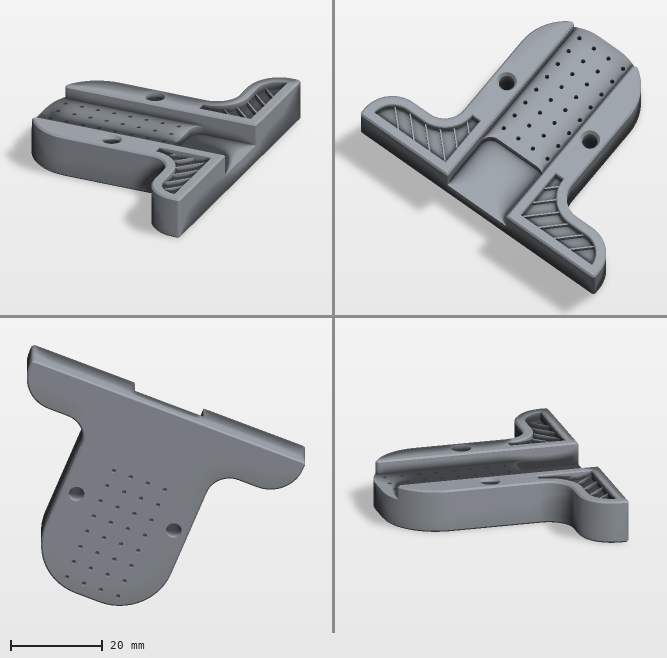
import cadquery as cq
import math

LENGTH = 47.6
HALF_SPAN = 32.25
HEIGHT = 9.55
EDGE_CHAMFER = 0.4

BODY_HALF_WIDTH = 14.85
FRONT_RADIUS = 12.05
WING_DEPTH = 9.5
WING_ROUND = 7.7
WING_FILLET = 5.3
CORNER_RADIUS = 0.8

CHANNEL_HALF_WIDTH = 8.05
CHANNEL_DEPTH = 3.1
BAY_START = 32.9
BAY_DEPTH = 2.0
BAY_CORNER = 2.7

BOLT_DIAMETER = 3.4
BOLT_SINK_WIDTH = 0.5
BOLT_SINK_DEPTH = 0.8
BOLT_X = 21.95

VENT_DIAMETER = 1.0
VENT_COLUMNS = 8
VENT_ROWS = 4
VENT_PITCH_X = 3.9
VENT_PITCH_Y = 4.0
VENT_FIRST_X = 3.0

POCKET_INSET = 2.3
POCKET_CHAMFER = 0.225
POCKET_DEPTH = 2.2
POCKET_START = 32.9
RIB_THICKNESS = 0.3
RIB_HEIGHT = 1.1
RIB_PITCH = 3.05
RIBS_EACH_SIDE = 3

WING_FRONT = LENGTH - WING_DEPTH
FLOOR_Z = HEIGHT - CHANNEL_DEPTH
FILLET_CENTER = (WING_FRONT - WING_FILLET, BODY_HALF_WIDTH + WING_FILLET)
ROUND_CENTER = (WING_FRONT + WING_ROUND, HALF_SPAN - WING_ROUND)


def on_circle(center, radius, degrees):
    angle = math.radians(degrees)
    return (center[0] + radius * math.cos(angle), center[1] + radius * math.sin(angle))


def box(x_range, y_range, z_range):
    size = [high - low for low, high in (x_range, y_range, z_range)]
    return cq.Workplane().box(*size, centered=False).translate((x_range[0], y_range[0], z_range[0]))


def both_sides(shape):
    return shape.union(shape.mirror("XZ"))


def plate():
    """Full-height half outline, mirrored about the X axis."""
    front_center = (FRONT_RADIUS, BODY_HALF_WIDTH - FRONT_RADIUS)
    outline = (
        cq.Workplane()
        .lineTo(0, front_center[1])
        .threePointArc(on_circle(front_center, FRONT_RADIUS, 135), (FRONT_RADIUS, BODY_HALF_WIDTH))
        .lineTo(FILLET_CENTER[0], BODY_HALF_WIDTH)
        .threePointArc(on_circle(FILLET_CENTER, WING_FILLET, -45), (WING_FRONT, FILLET_CENTER[1]))
        .lineTo(WING_FRONT, ROUND_CENTER[1])
        .threePointArc(on_circle(ROUND_CENTER, WING_ROUND, 135), (ROUND_CENTER[0], HALF_SPAN))
        .lineTo(LENGTH, HALF_SPAN)
        .lineTo(LENGTH, 0)
        .close()
    )
    half = outline.extrude(HEIGHT).edges("|Z and >X and >Y").fillet(CORNER_RADIUS)
    return both_sides(half).clean()


def channeled(body):
    """Cut the channel, round its front corners and chamfer the top and bottom edges."""
    width = (-CHANNEL_HALF_WIDTH, CHANNEL_HALF_WIDTH)
    body = body.cut(box((0, LENGTH), width, (FLOOR_Z, HEIGHT)))
    channel_mouth = cq.selectors.BoxSelector(
        (0, -CHANNEL_HALF_WIDTH - CORNER_RADIUS, FLOOR_Z),
        (FRONT_RADIUS, CHANNEL_HALF_WIDTH + CORNER_RADIUS, HEIGHT),
    )
    body = body.edges("|Z").edges(channel_mouth).fillet(CORNER_RADIUS)
    body = body.faces(">Z or <Z").edges().chamfer(EDGE_CHAMFER)
    bay = box((BAY_START, LENGTH), width, (FLOOR_Z - BAY_DEPTH, FLOOR_Z))
    return body.cut(bay.edges("|Z and <X").fillet(BAY_CORNER))


def bolt_holes():
    y = (CHANNEL_HALF_WIDTH + BODY_HALF_WIDTH) / 2
    radius = BOLT_DIAMETER / 2
    profile = [
        (0, 0),
        (radius, 0),
        (radius, HEIGHT - BOLT_SINK_DEPTH),
        (radius + BOLT_SINK_WIDTH, HEIGHT),
        (0, HEIGHT),
    ]
    hole = cq.Workplane("XZ").polyline(profile).close().revolve(360, (0, 0), (0, 1))
    return both_sides(hole.translate((BOLT_X, y, 0)))


def vent_holes():
    middle_x = VENT_FIRST_X + VENT_PITCH_X * (VENT_COLUMNS - 1) / 2
    return (
        cq.Workplane()
        .center(middle_x, 0)
        .rarray(VENT_PITCH_X, VENT_PITCH_Y, VENT_COLUMNS, VENT_ROWS)
        .circle(VENT_DIAMETER / 2)
        .extrude(FLOOR_Z)
    )


def wing_pockets():
    """Pockets along the wing outline, chamfered at rim and floor, with upright diagonal ribs."""
    back = LENGTH - POCKET_INSET
    side = CHANNEL_HALF_WIDTH + POCKET_INSET
    front = WING_FRONT + POCKET_INSET
    outer_radius = WING_FILLET + POCKET_INSET
    inner_radius = WING_ROUND - POCKET_INSET
    start_angle = -math.degrees(math.acos((POCKET_START - FILLET_CENTER[0]) / outer_radius))
    end_angle = math.degrees(math.acos((back - ROUND_CENTER[0]) / inner_radius))
    floor_z = HEIGHT - POCKET_DEPTH

    pocket = (
        cq.Workplane(origin=(0, 0, floor_z))
        .moveTo(POCKET_START, side)
        .lineTo(*on_circle(FILLET_CENTER, outer_radius, start_angle))
        .threePointArc(on_circle(FILLET_CENTER, outer_radius, start_angle / 2), (front, FILLET_CENTER[1]))
        .lineTo(front, ROUND_CENTER[1])
        .threePointArc(
            on_circle(ROUND_CENTER, inner_radius, (180 + end_angle) / 2),
            on_circle(ROUND_CENTER, inner_radius, end_angle),
        )
        .lineTo(back, side)
        .close()
        .extrude(POCKET_DEPTH)
    )
    rim = pocket.faces(">Z").wires().toPending().offset2D(POCKET_CHAMFER, "intersection")
    rim = rim.extrude(-POCKET_CHAMFER, combine=False, taper=45)
    pocket = pocket.faces("<Z").edges().chamfer(POCKET_CHAMFER).union(rim)

    ribs = cq.Workplane()
    for index in range(-RIBS_EACH_SIDE, RIBS_EACH_SIDE + 1):
        rib = cq.Workplane().box(2 * HALF_SPAN, RIB_THICKNESS, RIB_HEIGHT, centered=(True, True, False))
        rib = rib.translate((0, index * RIB_PITCH, 0)).rotate((0, 0, 0), (0, 0, 1), -45)
        ribs = ribs.union(rib.translate((back, side, floor_z)))
    return both_sides(pocket.cut(ribs))


result = channeled(plate()).cut(bolt_holes()).cut(vent_holes()).cut(wing_pockets())